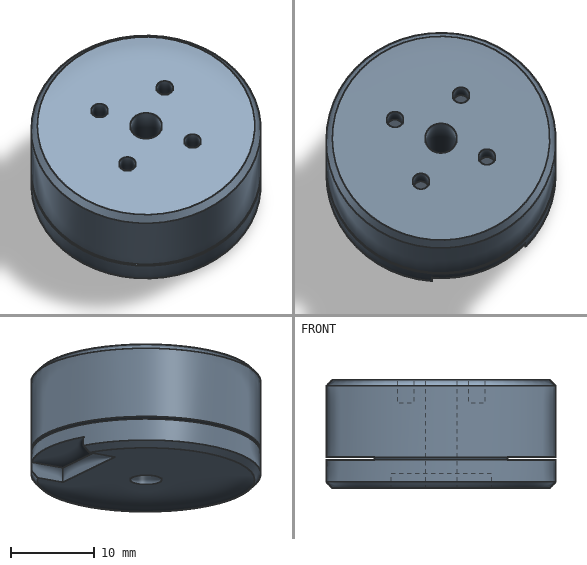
import cadquery as cq

outer_diameter = 27.55
total_height = 13.0
edge_chamfer = 0.75

base_height = 3.4
gap_height = 0.33
neck_diameter = 16.0
can_bottom = base_height + gap_height
can_height = total_height - can_bottom

bore_diameter = 3.8
mount_hole_diameter = 2.0
mount_circle_diameter = 12.0
mount_hole_depth = 2.75
mount_hole_count = 4
first_mount_angle = 45.0

slot_width = 12.0
slot_height = 1.82
slot_inner_y = neck_diameter / 2
slot_length = outer_diameter / 2 - slot_inner_y


def disc(diameter, height, bottom):
    """Plain cylinder on the Z axis."""
    return cq.Workplane("XY", origin=(0, 0, bottom)).circle(diameter / 2).extrude(height)


def make_base():
    """Lower disc with a chamfered bottom edge and the slot in its +Y rim."""
    base = disc(outer_diameter, base_height, 0).faces("<Z").edges().chamfer(edge_chamfer)
    slot = (
        cq.Workplane("XY", origin=(0, slot_inner_y, 0))
        .box(slot_width, slot_length, slot_height, centered=(True, False, False))
    )
    return base.cut(slot)


def make_can():
    """Upper cylinder with a chamfered top edge and four blind mounting holes."""
    can = disc(outer_diameter, can_height, can_bottom).faces(">Z").edges().chamfer(edge_chamfer)
    mount_holes = (
        cq.Workplane("XY", origin=(0, 0, total_height))
        .polarArray(mount_circle_diameter / 2, first_mount_angle, 360, mount_hole_count)
        .circle(mount_hole_diameter / 2)
        .extrude(-mount_hole_depth)
    )
    return can.cut(mount_holes)


neck = disc(neck_diameter, gap_height, base_height)
bore = disc(bore_diameter, total_height, 0)
result = make_base().union(neck).union(make_can()).cut(bore)